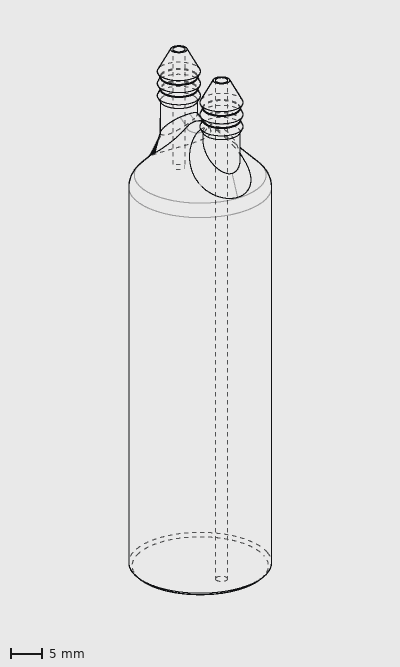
import cadquery as cq
import math

total_height = 89.3
body_diameter = 23.0
body_radius = body_diameter / 2
base_chamfer = 0.5
shoulder_height = 68.4
blend_radius = 3.0

barb_offset = 6.0
right_barb_drop = 0.9
tube_radius = 6.0 / 2
ring_radius = 7.0 / 2
tip_radius = 2.7 / 2
bore_radius = 2.0 / 2
nose_length = 3.9
ring_pitch = 2.1
ring_count = 3
ring_underside = 0.9
ring_land = 0.2
root_chamfer = 2.1
left_bore_floor = shoulder_height
right_bore_floor = 0.0

DIAGONAL = math.sqrt(0.5)
HALF_BEND = math.pi / 8


def make_body():
    """Revolved cylinder with a rounded shoulder and a 45 degree cone with a domed tip."""
    tangent = blend_radius * math.tan(HALF_BEND)
    arc_dip = blend_radius * (1 - math.cos(HALF_BEND))
    arc_rise = blend_radius * math.sin(HALF_BEND)
    wall_top = shoulder_height - tangent
    cone_start_radius = body_radius - tangent * DIAGONAL
    cone_start_height = shoulder_height + tangent * DIAGONAL

    apex_height = shoulder_height + body_radius
    dome_center = apex_height - blend_radius / DIAGONAL
    dome_edge = blend_radius * DIAGONAL

    profile = (
        cq.Workplane("YZ")
        .lineTo(body_radius - base_chamfer, 0)
        .lineTo(body_radius, base_chamfer)
        .lineTo(body_radius, wall_top)
        .threePointArc(
            (body_radius - arc_dip, wall_top + arc_rise),
            (cone_start_radius, cone_start_height),
        )
        .lineTo(dome_edge, dome_center + dome_edge)
        .threePointArc(
            (arc_rise, dome_center + blend_radius - arc_dip),
            (0, dome_center + blend_radius),
        )
        .close()
    )
    return profile.revolve(360, (0, 0, 0), (0, 1, 0))


def add_tube(body, x, top):
    """Plain tube reaching up into the lowest ring of its barb, bevelled where it meets the cone."""
    lowest_ring = top - nose_length - ring_pitch * (ring_count - 1)
    tube = (
        cq.Workplane("XY", origin=(x, 0, shoulder_height))
        .circle(tube_radius)
        .extrude(lowest_ring - shoulder_height)
    )
    joined = body.union(tube)

    highest_foot = shoulder_height + body_radius - (barb_offset - tube_radius)
    foot_region = cq.selectors.BoxSelector(
        (x - tube_radius, -tube_radius, shoulder_height),
        (x + tube_radius, tube_radius, highest_foot),
    )
    return joined.edges(foot_region).edges("not %LINE").chamfer(root_chamfer)


def make_barb(x, top):
    """Conical nose above a zigzag of rings, down to the top of the tube."""
    points = [(0, top), (tip_radius, top)]
    for ring in range(ring_count):
        peak = top - nose_length - ring * ring_pitch
        points.append((ring_radius, peak))
        valley = peak - ring_underside
        points.append((tube_radius, valley))
        if ring < ring_count - 1:
            points.append((tube_radius, valley - ring_land))
    points.append((0, points[-1][1]))
    barb = cq.Workplane("XZ").polyline(points).close().revolve(360, (0, 0, 0), (0, 1, 0))
    return barb.translate((x, 0, 0))


def make_bore(x, top, floor):
    """Straight passage from the barb tip down to its floor."""
    return cq.Workplane("XY", origin=(x, 0, floor)).circle(bore_radius).extrude(top - floor)


result = make_body()
for x, top, floor in (
    (-barb_offset, total_height, left_bore_floor),
    (barb_offset, total_height - right_barb_drop, right_bore_floor),
):
    result = add_tube(result, x, top)
    result = result.union(make_barb(x, top))
    result = result.cut(make_bore(x, top, floor))